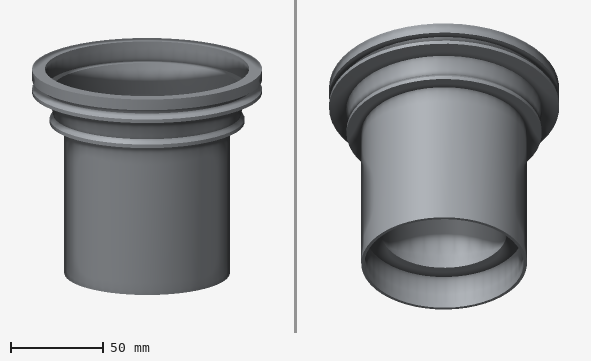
import cadquery as cq

total_height = 115.0
collar_height = 30.0
pipe_length = total_height - collar_height

pipe_outer_diameter = 90.0
pipe_inner_diameter = 86.4

rim_diameter = 125.0
groove_diameter = 116.5
neck_top_diameter = 106.5
neck_bottom_diameter = 102.0
foot_diameter = 106.0
spigot_diameter = 86.29

rim_depth = 6.0
groove_depth = 9.0
ridge_top_depth = 11.25
ridge_bottom_depth = 13.25
neck_top_depth = 15.0
neck_bottom_depth = 25.5
foot_top_depth = 28.0
spigot_length = 65.0

recess_diameter = 111.0
funnel_top_diameter = 103.0
funnel_bottom_diameter = 94.8
seat_diameter = 77.0
taper_top_diameter = 72.0
throat_diameter = 68.2

recess_depth = 11.0
funnel_depth = 27.5
seat_depth = 35.0
taper_top_depth = 39.0


def make_pipe():
    """Plain thin-walled tube that the collar sits on."""
    return (
        cq.Workplane("XY")
        .circle(pipe_outer_diameter / 2)
        .circle(pipe_inner_diameter / 2)
        .extrude(pipe_length)
    )


def make_collar():
    """Stepped funnel, revolved about Z, with a spigot that reaches down into the pipe."""
    spigot_depth = collar_height + spigot_length
    outside = [
        (rim_diameter, 0),
        (rim_diameter, rim_depth),
        (groove_diameter, rim_depth),
        (groove_diameter, groove_depth),
        (rim_diameter, ridge_top_depth),
        (rim_diameter, ridge_bottom_depth),
        (neck_top_diameter, neck_top_depth),
        (neck_bottom_diameter, neck_bottom_depth),
        (foot_diameter, foot_top_depth),
        (foot_diameter, collar_height),
        (spigot_diameter, collar_height),
        (spigot_diameter, spigot_depth),
    ]
    inside = [
        (throat_diameter, spigot_depth),
        (taper_top_diameter, taper_top_depth),
        (seat_diameter, seat_depth),
        (seat_diameter, funnel_depth),
        (funnel_bottom_diameter, funnel_depth),
        (funnel_top_diameter, recess_depth),
        (recess_diameter, recess_depth),
        (recess_diameter, 0),
    ]
    profile = [(diameter / 2, total_height - depth) for diameter, depth in outside + inside]
    return cq.Workplane("XZ").polyline(profile).close().revolve(360, (0, 0, 0), (0, 1, 0))


pipe = make_pipe()
collar = make_collar()

result = cq.Compound.makeCompound([pipe.val(), collar.val()])